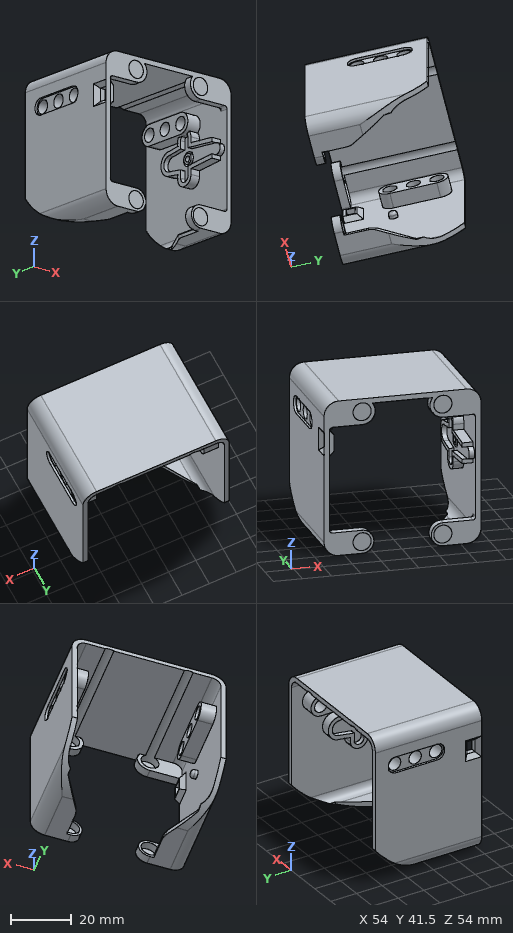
import cadquery as cq
import math

SIZE = 54.0
DEPTH = 41.5
WALL = 1.9
CORNER_R = 5.0
HALF = SIZE / 2
INNER = HALF - WALL
OPENING_HALF_WIDTH = 15.25
OPENING_FLARE_Y = 12.65
OPENING_FLARE_ANGLE = 30.0
OPENING_BEND_R = 5.0
OPENING_REAR_HALF_WIDTH = 22.85
REAR_CUT_R = 30.0
REAR_CUT_START_Y = 17.55

TAB_THICKNESS = 3.0
TAB_CENTER_X = 13.9
UPPER_TAB_R = 4.5
UPPER_TAB_Z = 22.4
LOWER_TAB_R = 4.05
LOWER_TAB_Z = LOWER_TAB_R - HALF
WINDOW_CORNER_R = 1.0
MAGNET_DIAMETER = 6.2
MAGNET_SKIN = 0.2

PIVOT_Y = 17.5
HOLE_Z = 15.2
HOLE_COUNT = 3
HOLE_PITCH = 8.0
HOLE_DIAMETER = 4.8
RECESS_WIDTH = 6.0
RECESS_DEPTH = 0.85
BOSS_WIDTH = 7.6
BOSS_END_X = 19.75

PIVOT_Z = 3.5
HOLDER_RIM_X = 21.45
HOLDER_FLOOR_X = 23.2
HOLDER_RIM = 1.5
SHORT_ARM_R = 1.9
SHORT_ARM_REACH = 6.55
FRONT_ARM_TIP_R = 2.1
REAR_ARM_TIP_R = 2.8
FRONT_ARM_REACH = 14.15
FRONT_ARM_ROOT = 3.3
REAR_ARM_REACH = 7.65
REAR_ARM_ROOT = 3.9
HUB_GROOVE_DIAMETER = 5.0
HUB_DIAMETER = 3.8
HUB_BORE_DIAMETER = 2.0
HUB_TOP_X = 22.85

PIN_DIAMETER = 3.0
PIN_END_X = -23.0
PIN_ROUNDING = 1.0

PORT_Y = 3.3
PORT_Z = 12.2
PORT_LENGTH = 3.15
PORT_HEIGHT = 4.65
PORT_TAPER = 1.6
COLLAR_END_X = -23.35
COLLAR_FRONT_Y = 0.7
COLLAR_WALL = 0.55


def box(x0, x1, y0, y1, z0, z1):
    return cq.Workplane("XY").box(x1 - x0, y1 - y0, z1 - z0, centered=False).translate((x0, y0, z0))


def y_cylinder(x, z, radius, y0, y1):
    return cq.Workplane("XZ", origin=(x, y0, z)).circle(radius).extrude(y0 - y1)


def x_cylinder(y, z, diameter, x0, x1):
    return cq.Workplane("YZ", origin=(x0, y, z)).circle(diameter / 2).extrude(x1 - x0)


def x_slot(width, x0, x1):
    """Slot-shaped prism along X, enclosing the whole row of holes."""
    length = (HOLE_COUNT - 1) * HOLE_PITCH + width
    center_y = PIVOT_Y + (HOLE_COUNT - 1) * HOLE_PITCH / 2
    return cq.Workplane("YZ", origin=(x0, center_y, HOLE_Z)).slot2D(length, width).extrude(x1 - x0)


def rounded_prism(half_width, corner_r, y0, y1):
    prism = box(-half_width, half_width, y0, y1, -half_width, half_width)
    return prism.edges("|Y").fillet(corner_r)


def make_shell():
    shell = rounded_prism(HALF, CORNER_R, 0, DEPTH)
    shell = shell.cut(rounded_prism(INNER, CORNER_R - WALL, 0, DEPTH))
    return shell.cut(make_bottom_opening())


def make_bottom_opening():
    """Opening in the bottom wall: parallel at the front, then flaring towards the back."""
    flare = OPENING_REAR_HALF_WIDTH - OPENING_HALF_WIDTH
    flare_end_y = OPENING_FLARE_Y + flare / math.tan(math.radians(OPENING_FLARE_ANGLE))
    opening = (
        cq.Workplane("XY", origin=(0, 0, -HALF))
        .polyline([
            (-OPENING_HALF_WIDTH, 0),
            (OPENING_HALF_WIDTH, 0),
            (OPENING_HALF_WIDTH, OPENING_FLARE_Y),
            (OPENING_REAR_HALF_WIDTH, flare_end_y),
            (OPENING_REAR_HALF_WIDTH, DEPTH),
            (-OPENING_REAR_HALF_WIDTH, DEPTH),
            (-OPENING_REAR_HALF_WIDTH, flare_end_y),
            (-OPENING_HALF_WIDTH, OPENING_FLARE_Y),
        ])
        .close()
        .extrude(CORNER_R)
    )
    bends = cq.selectors.BoxSelector((-HALF, OPENING_FLARE_Y - 0.55, -HALF), (HALF, OPENING_FLARE_Y + 0.55, 0))
    return opening.edges("|Z").edges(bends).fillet(OPENING_BEND_R)


def make_tabs():
    """Front tabs: the rounded outline minus the window, with round inner ends."""
    upper_z = UPPER_TAB_Z - UPPER_TAB_R
    lower_z = LOWER_TAB_Z + LOWER_TAB_R
    window = box(-INNER, INNER, 0, TAB_THICKNESS, lower_z, upper_z).edges("|Y").fillet(WINDOW_CORNER_R)
    plate = rounded_prism(HALF, CORNER_R, 0, TAB_THICKNESS).cut(window)
    plate = plate.cut(box(-TAB_CENTER_X, TAB_CENTER_X, 0, TAB_THICKNESS, -HALF, INNER))
    for x in (-TAB_CENTER_X, TAB_CENTER_X):
        upper_end = y_cylinder(x, UPPER_TAB_Z, UPPER_TAB_R, 0, TAB_THICKNESS)
        upper_end = upper_end.intersect(box(-HALF, HALF, 0, DEPTH, 0, HALF))
        plate = plate.union(upper_end)
        plate = plate.union(y_cylinder(x, LOWER_TAB_Z, LOWER_TAB_R, 0, TAB_THICKNESS))
    return plate


def make_magnet_pockets():
    """Round pockets bored along Y from the back, leaving a thin skin at the front of each tab."""
    pockets = cq.Workplane("XY")
    for x in (-TAB_CENTER_X, TAB_CENTER_X):
        for z in (LOWER_TAB_Z, UPPER_TAB_Z):
            pockets = pockets.union(y_cylinder(x, z, MAGNET_DIAMETER / 2, MAGNET_SKIN, DEPTH))
    return pockets


def make_rear_cut():
    """Region below the arc that sweeps the lower rear edge upwards."""
    center_z = REAR_CUT_R - HALF
    drop = math.sqrt(REAR_CUT_R**2 - (DEPTH - REAR_CUT_START_Y) ** 2)
    middle = math.atan2(DEPTH - REAR_CUT_START_Y, drop) / 2
    return (
        cq.Workplane("YZ", origin=(-HALF, 0, 0))
        .moveTo(REAR_CUT_START_Y, -HALF)
        .threePointArc(
            (REAR_CUT_START_Y + REAR_CUT_R * math.sin(middle), center_z - REAR_CUT_R * math.cos(middle)),
            (DEPTH, center_z - drop),
        )
        .lineTo(DEPTH, -HALF)
        .close()
        .extrude(SIZE)
    )


def tapered_arm(direction, reach, root, tip_r, round_tip, x0, x1):
    """Arm along Y from the pivot, narrowing to its tip; direction is -1 for front, 1 for rear."""
    arm = cq.Workplane("YZ", origin=(x0, PIVOT_Y, PIVOT_Z)).moveTo(0, -root)
    arm = arm.lineTo(direction * reach, -tip_r)
    if round_tip:
        arm = arm.threePointArc((direction * (reach + tip_r), 0), (direction * reach, tip_r))
    else:
        arm = arm.lineTo(direction * reach, tip_r)
    return arm.lineTo(0, root).close().extrude(x1 - x0)


def cross(margin, round_front, x0, x1):
    """Cross-shaped prism along X, grown outwards by margin."""
    width = 2 * (SHORT_ARM_R + margin)
    length = 2 * SHORT_ARM_REACH + width
    front_root = FRONT_ARM_ROOT + margin
    front_tip_r = FRONT_ARM_TIP_R + margin
    rear_root = REAR_ARM_ROOT + margin
    rear_tip_r = REAR_ARM_TIP_R + margin
    body = cq.Workplane("YZ", origin=(x0, PIVOT_Y, PIVOT_Z)).slot2D(length, width, 90).extrude(x1 - x0)
    body = body.union(tapered_arm(-1, FRONT_ARM_REACH, front_root, front_tip_r, round_front, x0, x1))
    return body.union(tapered_arm(1, REAR_ARM_REACH, rear_root, rear_tip_r, True, x0, x1))


def make_holder():
    """Rimmed cross with a sunken floor; the floor ends at the front in a round nose."""
    holder = cross(HOLDER_RIM, False, HOLDER_RIM_X, INNER)
    holder = holder.cut(cross(0, True, HOLDER_RIM_X, HOLDER_FLOOR_X))
    holder = holder.union(cross(0, True, HOLDER_FLOOR_X, INNER))
    holder = holder.cut(x_cylinder(PIVOT_Y, PIVOT_Z, HUB_GROOVE_DIAMETER, HOLDER_FLOOR_X, INNER))
    hub = x_cylinder(PIVOT_Y, PIVOT_Z, HUB_DIAMETER, HUB_TOP_X, INNER)
    return holder.union(hub.cut(x_cylinder(PIVOT_Y, PIVOT_Z, HUB_BORE_DIAMETER, HUB_TOP_X, INNER)))


def make_pin():
    pin = x_cylinder(PIVOT_Y, PIVOT_Z, PIN_DIAMETER, -INNER, PIN_END_X)
    return pin.faces(">X").edges().fillet(PIN_ROUNDING)


def make_collar():
    """Hollow bump inside the wall around the port, sloping at 45 degrees except at the front."""
    rise = INNER + COLLAR_END_X
    top_half = PORT_HEIGHT / 2 + COLLAR_WALL
    top_rear = PORT_Y + PORT_LENGTH / 2 + COLLAR_WALL
    base_rear = top_rear + rise
    sides = (
        cq.Workplane("XZ", origin=(0, COLLAR_FRONT_Y, PORT_Z))
        .polyline([(-INNER, -top_half - rise), (COLLAR_END_X, -top_half),
                   (COLLAR_END_X, top_half), (-INNER, top_half + rise)])
        .close()
        .extrude(COLLAR_FRONT_Y - base_rear)
    )
    rear_slope = (
        cq.Workplane("XY", origin=(0, 0, PORT_Z))
        .polyline([(-INNER, COLLAR_FRONT_Y), (COLLAR_END_X, COLLAR_FRONT_Y),
                   (COLLAR_END_X, top_rear), (-INNER, base_rear)])
        .close()
        .extrude(top_half + rise, both=True)
    )
    return sides.intersect(rear_slope)


def make_port():
    """Tapered mouth at the outer wall that leads into a straight passage."""
    mouth = (
        cq.Workplane("YZ", origin=(-HALF, PORT_Y, PORT_Z))
        .rect(PORT_LENGTH + 2 * PORT_TAPER, PORT_HEIGHT + 2 * PORT_TAPER)
        .workplane(offset=PORT_TAPER)
        .rect(PORT_LENGTH, PORT_HEIGHT)
        .loft()
    )
    passage = (
        cq.Workplane("YZ", origin=(-HALF, PORT_Y, PORT_Z))
        .rect(PORT_LENGTH, PORT_HEIGHT)
        .extrude(HALF + COLLAR_END_X)
    )
    return mouth.union(passage)


result = make_shell().union(make_tabs())
result = result.cut(make_rear_cut()).cut(make_magnet_pockets())
result = result.union(make_holder()).union(make_pin()).union(make_collar()).cut(make_port())

for side in (-1, 1):
    result = result.union(x_slot(BOSS_WIDTH, side * INNER, side * BOSS_END_X))
    result = result.cut(x_slot(RECESS_WIDTH, side * HALF, side * (HALF - RECESS_DEPTH)))
for index in range(HOLE_COUNT):
    hole_y = PIVOT_Y + index * HOLE_PITCH
    result = result.cut(x_cylinder(hole_y, HOLE_Z, HOLE_DIAMETER, -HALF, HALF))